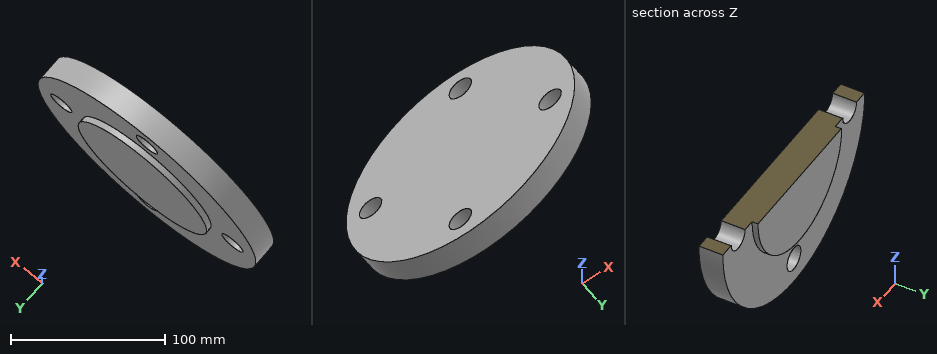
import cadquery as cq

flange_diameter = 185.0
total_thickness = 22.5
raised_face_diameter = 109.0
raised_face_height = 4.5
bolt_circle_diameter = 145.0
bolt_hole_diameter = 18.0
bolt_hole_count = 4

flange_thickness = total_thickness - raised_face_height


def disc(diameter, start_y, thickness):
    """Solid disc about the Y axis, growing from start_y toward +Y."""
    plane = cq.Plane(origin=(0, start_y, 0), xDir=(1, 0, 0), normal=(0, 1, 0))
    return cq.Workplane(plane).circle(diameter / 2).extrude(thickness)


def bolt_holes():
    """Through-hole cutters on the bolt circle, in line with the X and Z axes."""
    return (
        cq.Workplane("XZ")
        .polarArray(bolt_circle_diameter / 2, 0, 360, bolt_hole_count)
        .circle(bolt_hole_diameter / 2)
        .extrude(-flange_thickness)
    )


flange = disc(flange_diameter, 0, flange_thickness)
raised_face = disc(raised_face_diameter, flange_thickness, raised_face_height)

result = flange.union(raised_face).cut(bolt_holes())